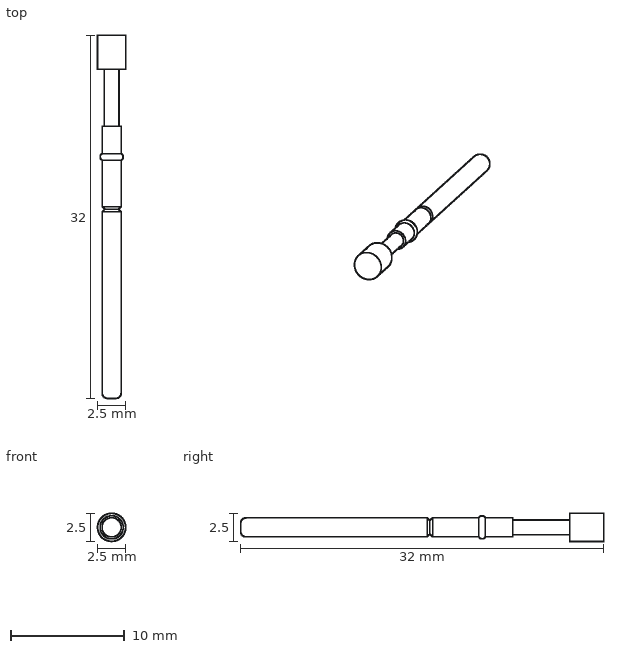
import cadquery as cq

total_length = 32.0
head_radius = 1.25
head_length = 3.0
plunger_diameter = 1.3
plunger_radius = plunger_diameter / 2
barrel_start = 8.0
barrel_diameter = 1.7
barrel_radius = barrel_diameter / 2

ring_center = 10.72
ring_half_width = 0.3
ring_radius = 1.02

waist_station = 15.33
waist_radius = 0.6
groove_half_width = barrel_radius - waist_radius

tail_round = 0.48


def y_at(station):
    """Y position of a station, with the probe centred on the origin."""
    return total_length / 2 - station


def revolve_profile(profile):
    """Turn a closed (radius, Y) half-profile into a solid about the Y axis."""
    return profile.close().revolve(360, (0, 0, 0), (0, 1, 0))


def cylinder(radius, start, end):
    """Solid cylinder between two stations."""
    profile = (
        cq.Workplane("XY")
        .moveTo(0, y_at(start))
        .lineTo(radius, y_at(start))
        .lineTo(radius, y_at(end))
        .lineTo(0, y_at(end))
    )
    return revolve_profile(profile)


def press_ring():
    """Rounded bead that stops the barrel in its mounting hole."""
    profile = (
        cq.Workplane("XY")
        .moveTo(0, y_at(ring_center - ring_half_width))
        .lineTo(barrel_radius, y_at(ring_center - ring_half_width))
        .threePointArc(
            (ring_radius, y_at(ring_center)),
            (barrel_radius, y_at(ring_center + ring_half_width)),
        )
        .lineTo(0, y_at(ring_center + ring_half_width))
    )
    return revolve_profile(profile)


def crimp_groove():
    """V-shaped cutter ring running from the barrel surface down to the waist."""
    profile = (
        cq.Workplane("XY")
        .moveTo(barrel_radius, y_at(waist_station - groove_half_width))
        .lineTo(waist_radius, y_at(waist_station))
        .lineTo(barrel_radius, y_at(waist_station + groove_half_width))
    )
    return revolve_profile(profile)


head = cylinder(head_radius, 0, head_length)
plunger = cylinder(plunger_radius, head_length, barrel_start)
barrel = cylinder(barrel_radius, barrel_start, total_length).faces("<Y").edges().fillet(tail_round)
barrel = barrel.cut(crimp_groove()).union(press_ring())

result = head.union(plunger).union(barrel)